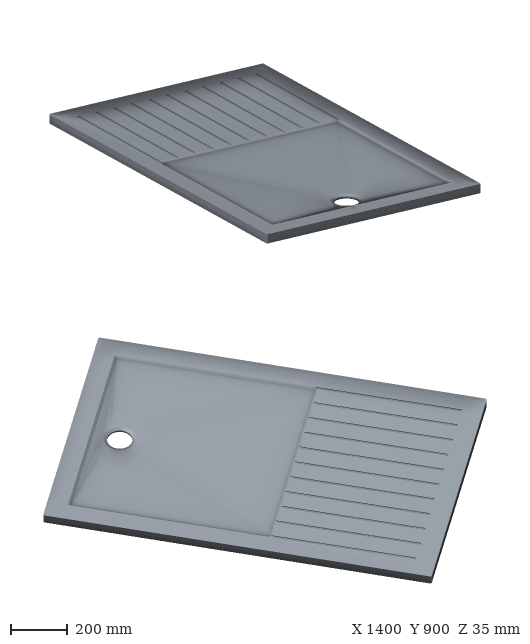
import cadquery as cq
import math


length = 1400.0
width = 900.0
height = 35.0
corner_radius = 5.0

rim_width = 4.0

side_margin = 71.0
mouth_left = -108.0
mouth_right = length / 2 - 74.0
mouth_half_width = width / 2 - side_margin
mouth_drop = 3.0

step_width = 10.0
step_drop = 7.0

drain_x = 524.0
drain_y = 0.0
funnel_radius = 57.0
drain_radius = 45.0
floor_fall = 13.0
funnel_depth = 5.0

groove_count = 11
groove_span = 749.0
groove_pitch = groove_span / (groove_count - 1)
groove_width = 10.0
groove_start = -627.0
groove_depth = 3.0

right_facing = 0
back_facing = 90
left_facing = 180
front_facing = 270
half_quarter = 45

mouth_z = height - mouth_drop
step_z = mouth_z - step_drop
funnel_z = step_z - floor_fall
drain_z = funnel_z - funnel_depth


def rectangle_wire(left, right, half_width, z):
    """Horizontal rectangle, counterclockwise from its left front corner."""
    corners = [
        cq.Vector(left, -half_width, z),
        cq.Vector(right, -half_width, z),
        cq.Vector(right, half_width, z),
        cq.Vector(left, half_width, z),
    ]
    return cq.Wire.makePolygon(corners, close=True)


def funnel_mouth_point(angle, z):
    """Point on the funnel mouth at an angle in degrees from +X."""
    x = drain_x + funnel_radius * math.cos(math.radians(angle))
    y = drain_y + funnel_radius * math.sin(math.radians(angle))
    return cq.Vector(x, y, z)


def quartered_circle_wire(z):
    """Funnel mouth as four arcs, one facing each side of the basin."""
    arcs = []
    for facing in (front_facing, right_facing, back_facing, left_facing):
        ends_and_middle = [
            funnel_mouth_point(facing + turn, z) for turn in (-half_quarter, 0, half_quarter)
        ]
        arcs.append(cq.Edge.makeThreePointArc(*ends_and_middle))
    return cq.Wire.assembleEdges(arcs)


def ruled_solid(upper, lower):
    return cq.Solid.makeLoft([upper, lower], True)


def make_slab():
    slab = cq.Workplane("XY").box(length, width, height, centered=(True, True, False))
    return slab.edges("|Z").fillet(corner_radius)


def make_basin():
    """Everything removed above the ramp, the sloped rim and the basin floor."""
    rim = rectangle_wire(
        rim_width - length / 2, length / 2 - rim_width, width / 2 - rim_width, height
    )
    mouth = rectangle_wire(mouth_left, mouth_right, mouth_half_width, mouth_z)
    floor = rectangle_wire(
        mouth_left + step_width, mouth_right - step_width, mouth_half_width - step_width, step_z
    )
    dish = cq.Workplane(ruled_solid(rim, mouth))
    step = cq.Workplane(ruled_solid(mouth, floor))
    fall = cq.Workplane(ruled_solid(floor, quartered_circle_wire(funnel_z)))
    return dish, step, fall


def make_drain():
    funnel = cq.Solid.makeCone(
        drain_radius, funnel_radius, funnel_depth, pnt=cq.Vector(drain_x, drain_y, drain_z)
    )
    hole = cq.Solid.makeCylinder(drain_radius, height, pnt=cq.Vector(drain_x, drain_y, 0))
    return cq.Workplane(funnel), cq.Workplane(hole)


def make_grooves():
    """Parallel grooves whose floors lie a constant depth below the ramp."""
    ramp_start = rim_width - length / 2
    ramp_slope = mouth_drop / (mouth_left - ramp_start)
    groove_end = mouth_left + step_width

    def floor_z(x):
        return height - ramp_slope * (x - ramp_start) - groove_depth

    profile = [
        (groove_start, floor_z(groove_start)),
        (groove_end, floor_z(groove_end)),
        (groove_end, height),
        (groove_start, height),
    ]
    groove = cq.Workplane("XZ").polyline(profile).close().extrude(groove_width / 2, both=True)
    first_y = -groove_span / 2
    return [groove.translate((0, first_y + i * groove_pitch, 0)) for i in range(groove_count)]


result = make_slab()
for cutter in (*make_basin(), *make_drain(), *make_grooves()):
    result = result.cut(cutter)